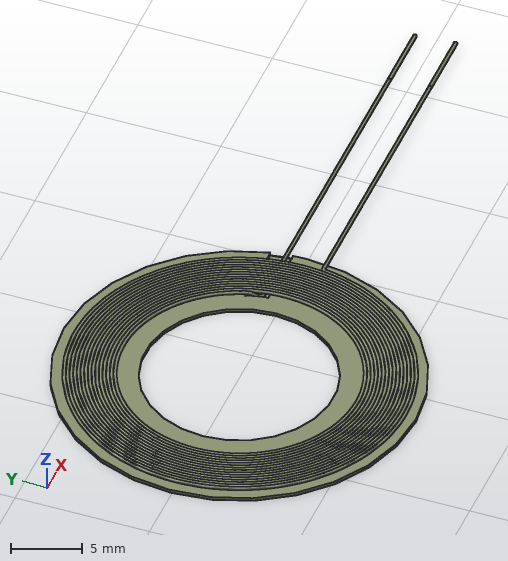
import cadquery as cq
import math

PLATE_DIAMETER = 26.3
PLATE_BORE = 14.0
SLOT_FLOOR = 0.01
SLOT_SIDE_NEAR = 1.05
SLOT_SIDE_FAR = 2.6
SLOT_END_RADIUS = 8.4

WIRE_DIAMETER = 0.25
WHOLE_TURNS = 15
FIRST_TURN_RADIUS = 8.55
LAST_TURN_RADIUS = 12.35
POINTS_PER_TURN = 16
LEAD_SPACING = 3.05
BEND_RADIUS = 0.25
RAMP_TOP_Y = 2.45

TIP_DIAMETER = 0.27
TIP_LENGTH = 5.05
OVERALL_LENGTH = 51.3

PLATE_RADIUS = PLATE_DIAMETER / 2
LEAD_OFFSET = LEAD_SPACING / 2
TIP_END_X = OVERALL_LENGTH - PLATE_RADIUS
TIP_START_X = TIP_END_X - TIP_LENGTH
PLATE_THICKNESS = SLOT_FLOOR + WIRE_DIAMETER
INNER_LEAD_Z = SLOT_FLOOR + WIRE_DIAMETER / 2
COIL_Z = PLATE_THICKNESS + WIRE_DIAMETER / 2

FIRST_TURN_ANGLE = math.asin(RAMP_TOP_Y / FIRST_TURN_RADIUS)
INNER_BEND_ANGLE = math.asin((LEAD_OFFSET + BEND_RADIUS) / (FIRST_TURN_RADIUS + BEND_RADIUS))
OUTER_BEND_ANGLE = math.asin((-LEAD_OFFSET - BEND_RADIUS) / (LAST_TURN_RADIUS + BEND_RADIUS))
LAST_TURN_ANGLE = 2 * math.pi * WHOLE_TURNS + OUTER_BEND_ANGLE


def make_plate():
    ring = cq.Workplane("XY").circle(PLATE_RADIUS).circle(PLATE_BORE / 2).extrude(PLATE_THICKNESS)
    slot_floor = cq.Workplane("XY", origin=(0, 0, SLOT_FLOOR))
    slot_sides = slot_floor.moveTo(0, SLOT_SIDE_NEAR).rect(
        PLATE_RADIUS, SLOT_SIDE_FAR - SLOT_SIDE_NEAR, centered=False
    ).extrude(PLATE_THICKNESS)
    slot = slot_sides.cut(slot_floor.circle(SLOT_END_RADIUS).extrude(PLATE_THICKNESS))
    return ring.cut(slot)


def polar_point(radius, angle, z):
    return cq.Vector(radius * math.cos(angle), radius * math.sin(angle), z)


def turn_direction(angle):
    """Counter-clockwise direction of travel around the coil axis."""
    return cq.Vector(-math.sin(angle), math.cos(angle), 0)


def bend_edge(turn_radius, turn_angle, lead_angle, z):
    """Clockwise bend that touches a turn from outside and ends at lead_angle on its own circle."""
    centre = polar_point(turn_radius + BEND_RADIUS, turn_angle, z)
    touch_angle = math.pi + turn_angle
    angles = (touch_angle, (touch_angle + lead_angle) / 2, lead_angle)
    return cq.Edge.makeThreePointArc(*(centre + polar_point(BEND_RADIUS, angle, 0) for angle in angles))


def lead_edge(bend):
    """Straight lead from the free end of a bend to the tip."""
    bend_end = bend.endPoint()
    return cq.Edge.makeLine(bend_end, cq.Vector(TIP_START_X, bend_end.y, bend_end.z))


def ramp_edge(bend):
    """Climb from the bend in the slot to the start of the spiral."""
    top = polar_point(FIRST_TURN_RADIUS, FIRST_TURN_ANGLE, COIL_Z)
    directions = [turn_direction(INNER_BEND_ANGLE), turn_direction(FIRST_TURN_ANGLE)]
    return cq.Edge.makeSpline([bend.startPoint(), top], directions)


def spiral_edge():
    """Evenly widening spiral, square to its radius at both ends so that it joins them smoothly."""
    steps = WHOLE_TURNS * POINTS_PER_TURN
    angles = []
    points = []
    for step in range(steps + 1):
        fraction = step / steps
        radius = FIRST_TURN_RADIUS + fraction * (LAST_TURN_RADIUS - FIRST_TURN_RADIUS)
        angle = FIRST_TURN_ANGLE + fraction * (LAST_TURN_ANGLE - FIRST_TURN_ANGLE)
        angles.append(angle)
        points.append(polar_point(radius, angle, COIL_Z))
    end_slopes = [
        turn_direction(FIRST_TURN_ANGLE) * FIRST_TURN_RADIUS,
        turn_direction(LAST_TURN_ANGLE) * LAST_TURN_RADIUS,
    ]
    return cq.Edge.makeSpline(points, end_slopes, parameters=angles, scale=False)


def make_coil():
    inner_bend = bend_edge(FIRST_TURN_RADIUS, INNER_BEND_ANGLE, 3 * math.pi / 2, INNER_LEAD_Z)
    outer_bend = bend_edge(LAST_TURN_RADIUS, OUTER_BEND_ANGLE, math.pi / 2, COIL_Z)
    path = cq.Wire.assembleEdges(
        [
            lead_edge(inner_bend),
            inner_bend,
            ramp_edge(inner_bend),
            spiral_edge(),
            outer_bend,
            lead_edge(outer_bend),
        ]
    )
    profile = cq.Workplane("YZ", origin=(TIP_START_X, LEAD_OFFSET, INNER_LEAD_Z)).circle(WIRE_DIAMETER / 2)
    return profile.sweep(cq.Workplane(path))


def make_tip(y, z):
    return cq.Workplane("YZ", origin=(TIP_START_X, y, z)).circle(TIP_DIAMETER / 2).extrude(TIP_LENGTH)


plate = make_plate()
coil = make_coil()
tips = []
for lead_y, lead_z in ((LEAD_OFFSET, INNER_LEAD_Z), (-LEAD_OFFSET, COIL_Z)):
    tips.append(make_tip(lead_y, lead_z))

result = cq.Compound.makeCompound([plate.val(), coil.val(), *(tip.val() for tip in tips)])